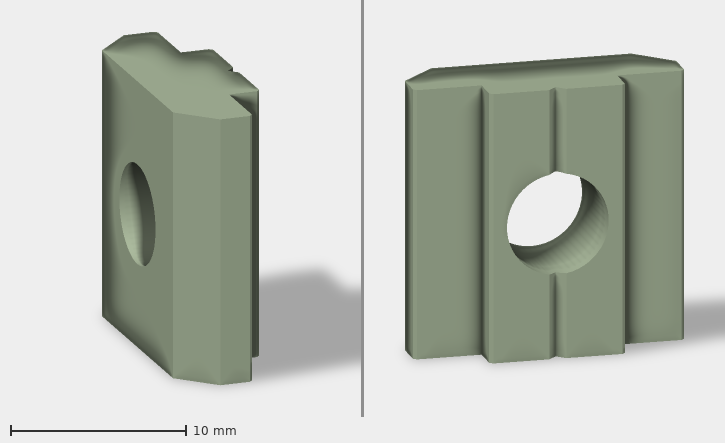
import cadquery as cq

width = 16.0
thickness = 6.0
length = 16.0

neck_width = 8.0
neck_height = 1.9
bevel = 2.1
edge_chamfer = 0.2
notch_depth = 0.5

hole_diameter = 6.0

half_width = width / 2
half_neck = neck_width / 2
shoulder_y = thickness - neck_height


def half_profile():
    """Points of the +X half of the section, from the bevelled face up to the notch."""
    return [
        (half_width - bevel, 0),
        (half_width, bevel),
        (half_width, shoulder_y - edge_chamfer),
        (half_width - edge_chamfer, shoulder_y),
        (half_neck, shoulder_y),
        (half_neck, thickness - edge_chamfer),
        (half_neck - edge_chamfer, thickness),
        (notch_depth, thickness),
    ]


def nut_body():
    """T-shaped section with a V notch in the neck, extruded along Z."""
    right_side = half_profile()
    notch_bottom = (0, thickness - notch_depth)
    left_side = [(-x, y) for x, y in reversed(right_side)]
    outline = right_side + [notch_bottom] + left_side
    return cq.Workplane("XY").polyline(outline).close().extrude(length)


def through_hole():
    """Cylinder along Y through the middle of the nut."""
    return (
        cq.Workplane("XZ")
        .center(0, length / 2)
        .circle(hole_diameter / 2)
        .extrude(-thickness)
    )


result = nut_body().cut(through_hole())